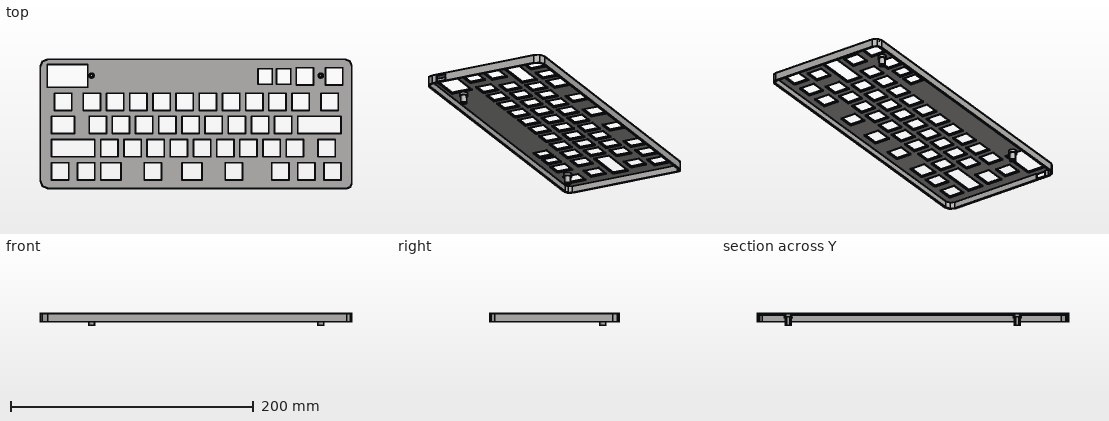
import cadquery as cq
import math

LENGTH = 256.9
WIDTH = 106.53
CASE_HEIGHT = 7.0
PLATE_THICKNESS = 1.5
WALL = 1.2

FACETS_PER_CORNER = 2

CORNER_FRONT_LEFT = 6.5
CORNER_FRONT_RIGHT = 4.2
CORNER_BACK_RIGHT = 5.4
CORNER_BACK_LEFT = 6.2

KEY_PITCH = 19.1
KEY_CUTOUT = 14.0
KEY_GRID_X = 0.25
FRONT_ROW_Y = -39.1


def single_keys(*centres):
    """Openings for one key each."""
    return [(centre, centre) for centre in centres]


def key_run(first, count):
    """Openings for a run of keys one pitch apart."""
    return single_keys(*[first + i for i in range(count)])


KEY_ROWS = [
    single_keys(-5.875, -4.75, -1.875, 1.625, 3.625, 4.75, 5.875) + [(-3.75, -3.625), (-0.25, -0.125)],
    [(-5.875, -4.75)] + key_run(-3.75, 9) + single_keys(5.625),
    [(-5.875, -5.625)] + key_run(-4.25, 9) + [(4.75, 5.875)],
    single_keys(-5.75) + key_run(-4.5, 10) + single_keys(5.75),
]

BACK_ROW_Y = 39.05
BACK_KEY_XS = (89.8, 113.8)
SMALL_OPENING_XS = (57.0, 72.2)
SMALL_OPENING_LENGTH = 11.6
SMALL_OPENING_WIDTH = 12.4
DISPLAY_X = -105.9
DISPLAY_Y = 39.6
DISPLAY_LENGTH = 33.3
DISPLAY_WIDTH = 18.6

PORT_Y = 39.2
PORT_WIDTH = 8.4
PORT_BOTTOM = 0.6
PORT_HEIGHT = 4.9

POST_XS = (-86.0, 102.8)
POST_Y = 39.75
POST_DIAMETER = 5.0
POST_DROP = 3.0
COLLAR_DIAMETER = 6.6
COLLAR_BOTTOM = 3.2
SCREW_DIAMETER = 2.4
HEAD_DIAMETER = 4.0
HEAD_DEPTH = 2.8


def outline(inset):
    """Case outline moved inwards, with faceted corners."""
    half_x = LENGTH / 2 - inset
    half_y = WIDTH / 2 - inset
    facet_angle = 90 / FACETS_PER_CORNER
    corners = [
        (-1, -1, CORNER_FRONT_LEFT, 180),
        (1, -1, CORNER_FRONT_RIGHT, 270),
        (1, 1, CORNER_BACK_RIGHT, 0),
        (-1, 1, CORNER_BACK_LEFT, 90),
    ]
    points = []
    for side_x, side_y, setback, start in corners:
        radius = setback - inset
        for step in range(FACETS_PER_CORNER + 1):
            angle = math.radians(start + facet_angle * step)
            x = side_x * (half_x - radius) + radius * math.cos(angle)
            y = side_y * (half_y - radius) + radius * math.sin(angle)
            points.append((x, y))
    return cq.Workplane("XY").polyline(points).close()


def through_box(x, y, length, width):
    """Cutter for a rectangular opening in the plate."""
    return cq.Workplane("XY").center(x, y).rect(length, width).extrude(CASE_HEIGHT)


def cylinder(x, diameter, bottom, top):
    """Upright cylinder on the line of the screw posts."""
    return cq.Workplane("XY", origin=(x, POST_Y, bottom)).circle(diameter / 2).extrude(top - bottom)


def shell():
    """Plate with a surrounding wall, open below."""
    cavity = outline(WALL).extrude(CASE_HEIGHT - PLATE_THICKNESS)
    return outline(0).extrude(CASE_HEIGHT).cut(cavity)


def cut_openings(body):
    """Cut the key, small and display openings through the plate."""
    for row, openings in enumerate(KEY_ROWS):
        y = FRONT_ROW_Y + row * KEY_PITCH
        for first, last in openings:
            x = KEY_GRID_X + (first + last) / 2 * KEY_PITCH
            length = KEY_CUTOUT + (last - first) * KEY_PITCH
            body = body.cut(through_box(x, y, length, KEY_CUTOUT))
    for x in BACK_KEY_XS:
        body = body.cut(through_box(x, BACK_ROW_Y, KEY_CUTOUT, KEY_CUTOUT))
    for x in SMALL_OPENING_XS:
        body = body.cut(through_box(x, BACK_ROW_Y, SMALL_OPENING_LENGTH, SMALL_OPENING_WIDTH))
    return body.cut(through_box(DISPLAY_X, DISPLAY_Y, DISPLAY_LENGTH, DISPLAY_WIDTH))


def cut_port(body):
    """Cut the port through the left wall."""
    port = cq.Workplane("XY").box(2 * WALL, PORT_WIDTH, PORT_HEIGHT, centered=(True, True, False))
    return body.cut(port.translate((-LENGTH / 2, PORT_Y, PORT_BOTTOM)))


def add_posts(body):
    """Add the collared posts and bore them for sunk screw heads."""
    for x in POST_XS:
        body = body.union(cylinder(x, POST_DIAMETER, -POST_DROP, CASE_HEIGHT))
        body = body.union(cylinder(x, COLLAR_DIAMETER, COLLAR_BOTTOM, CASE_HEIGHT))
        body = body.cut(cylinder(x, SCREW_DIAMETER, -POST_DROP, CASE_HEIGHT))
        body = body.cut(cylinder(x, HEAD_DIAMETER, CASE_HEIGHT - HEAD_DEPTH, CASE_HEIGHT))
    return body


result = add_posts(cut_port(cut_openings(shell())))